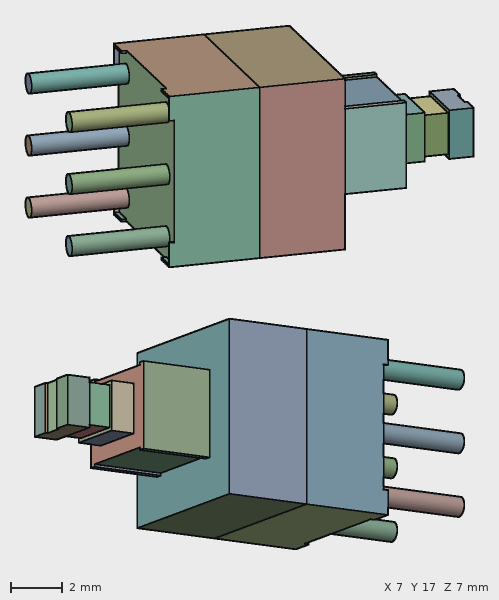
import cadquery as cq


HOUSING_WIDTH = 7.0
HALF_LENGTH = 3.5

TAB_HEIGHT = 0.2
TAB_REACH = 1.0
TAB_THICKNESS = 0.1

NECK_WIDTH = 4.0
NECK_HEIGHT = 3.5
NECK_LENGTH = 3.0
NECK_RIB_WIDTH = 0.3
NECK_RECESS_DEPTH = 0.1

PLUNGER_WIDTH = 2.5
PLUNGER_HEIGHT = 2.0
PLUNGER_STEP = 1.0
GROOVE_DEPTH = 0.15
NOTCH_WIDTH = 0.85
NOTCH_DEPTH = 0.1

PIN_DIAMETER = 0.8
PIN_LENGTH = 4.0
PIN_PITCH = 2.54
PIN_COLUMNS = (-PIN_PITCH, PIN_PITCH)
PIN_ROWS = (-PIN_PITCH, 0, PIN_PITCH)

PIN_FACE_Y = -HALF_LENGTH
COVER_FACE_Y = HALF_LENGTH
NECK_END_Y = COVER_FACE_Y + NECK_LENGTH
GROOVE_START_Y = NECK_END_Y + PLUNGER_STEP
HEAD_START_Y = GROOVE_START_Y + PLUNGER_STEP
PLUNGER_END_Y = HEAD_START_Y + PLUNGER_STEP


def block(width, height, start_y, length):
    """Box centred on the Y axis that runs from start_y toward +Y."""
    return cq.Workplane("XY").box(width, length, height).translate((0, start_y + length / 2, 0))


def make_base():
    """Pin-side housing half with an L-shaped tab at each corner."""
    body = block(HOUSING_WIDTH, HOUSING_WIDTH, PIN_FACE_Y, HALF_LENGTH)

    tab_end_y = PIN_FACE_Y - TAB_HEIGHT
    rim_opening = HOUSING_WIDTH - 2 * TAB_THICKNESS
    side_gap = HOUSING_WIDTH - 2 * TAB_REACH
    tabs = (
        block(HOUSING_WIDTH, HOUSING_WIDTH, tab_end_y, TAB_HEIGHT)
        .cut(block(rim_opening, rim_opening, tab_end_y, TAB_HEIGHT))
        .cut(block(side_gap, HOUSING_WIDTH, tab_end_y, TAB_HEIGHT))
        .cut(block(HOUSING_WIDTH, side_gap, tab_end_y, TAB_HEIGHT))
    )
    return body.union(tabs)


def make_cover():
    """Plunger-side housing half with a neck that has a rib along each edge."""
    body = block(HOUSING_WIDTH, HOUSING_WIDTH, 0, HALF_LENGTH)

    web_width = NECK_WIDTH - 2 * NECK_RIB_WIDTH
    web_height = NECK_HEIGHT - 2 * NECK_RECESS_DEPTH
    recesses = block(web_width, NECK_HEIGHT, COVER_FACE_Y, NECK_LENGTH).cut(
        block(web_width, web_height, COVER_FACE_Y, NECK_LENGTH)
    )
    neck = block(NECK_WIDTH, NECK_HEIGHT, COVER_FACE_Y, NECK_LENGTH).cut(recesses)
    return body.union(neck)


def make_plunger():
    """Rectangular plunger with a groove all round and a notch across its end."""
    collar = block(PLUNGER_WIDTH, PLUNGER_HEIGHT, NECK_END_Y, PLUNGER_STEP)
    grooved = block(
        PLUNGER_WIDTH - 2 * GROOVE_DEPTH,
        PLUNGER_HEIGHT - 2 * GROOVE_DEPTH,
        GROOVE_START_Y,
        PLUNGER_STEP,
    )
    head = block(PLUNGER_WIDTH, PLUNGER_HEIGHT, HEAD_START_Y, PLUNGER_STEP)
    notch = block(NOTCH_WIDTH, PLUNGER_HEIGHT, PLUNGER_END_Y - NOTCH_DEPTH, NOTCH_DEPTH)
    return collar.union(grooved).union(head).cut(notch)


def make_pin(x, z):
    """Round pin that stands on the pin face and points to -Y."""
    pin = cq.Workplane("XZ").circle(PIN_DIAMETER / 2).extrude(PIN_LENGTH)
    return pin.translate((x, PIN_FACE_Y, z))


base = make_base()
cover = make_cover()
plunger = make_plunger()
pins = [make_pin(x, z) for x in PIN_COLUMNS for z in PIN_ROWS]

result = cq.Compound.makeCompound(
    [base.val(), cover.val(), plunger.val(), *[pin.val() for pin in pins]]
)